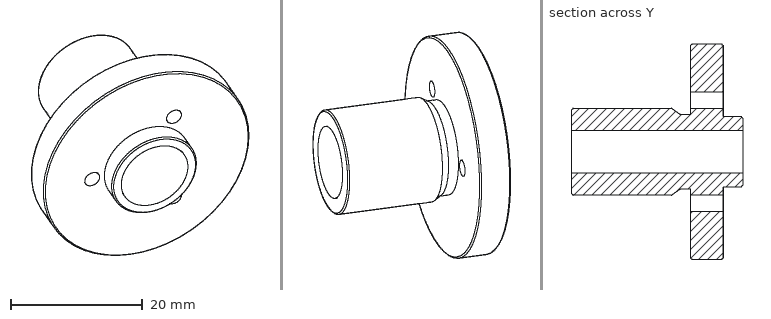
import cadquery as cq
import math

flange_diameter = 34.0
barrel_diameter = 16.0
neck_diameter = 14.6
spigot_diameter = 14.0
bore_diameter = 11.0

stem_length = 18.02
neck_length = 1.6
flange_thickness = 5.0
spigot_length = 3.0
taper_angle = 30.0
edge_chamfer = 0.25

hole_diameter = 2.45
hole_circle_radius = 9.0
hole_count = 3
first_hole_angle = 180.0

total_length = stem_length + flange_thickness + spigot_length
barrel_end = -total_length / 2
flange_front = barrel_end + stem_length
flange_back = flange_front + flange_thickness
neck_start = flange_front - neck_length
taper_length = (barrel_diameter - neck_diameter) / 2 / math.tan(math.radians(taper_angle))
barrel_length = stem_length - neck_length - taper_length


def cylinder(start, length, diameter):
    """Cylinder on the X axis, running towards +X from the start station."""
    return cq.Workplane("YZ", origin=(start, 0, 0)).circle(diameter / 2).extrude(length)


def taper():
    """Cone that narrows from the barrel to the neck."""
    return (
        cq.Workplane("YZ", origin=(neck_start - taper_length, 0, 0))
        .circle(barrel_diameter / 2)
        .workplane(offset=taper_length)
        .circle(neck_diameter / 2)
        .loft(ruled=True)
    )


def flange_holes():
    """Ring of holes through the flange."""
    return (
        cq.Workplane("YZ", origin=(flange_front, 0, 0))
        .polarArray(hole_circle_radius, first_hole_angle, 360, hole_count)
        .circle(hole_diameter / 2)
        .extrude(flange_thickness)
    )


barrel = cylinder(barrel_end, barrel_length, barrel_diameter).faces("<X").chamfer(edge_chamfer)
neck = cylinder(neck_start, neck_length, neck_diameter)
flange = cylinder(flange_front, flange_thickness, flange_diameter).edges().chamfer(edge_chamfer)
spigot = cylinder(flange_back, spigot_length, spigot_diameter).faces(">X").chamfer(edge_chamfer)
bore = cylinder(barrel_end, total_length, bore_diameter)

result = barrel.union(taper()).union(neck).union(flange).union(spigot).cut(bore).cut(flange_holes())